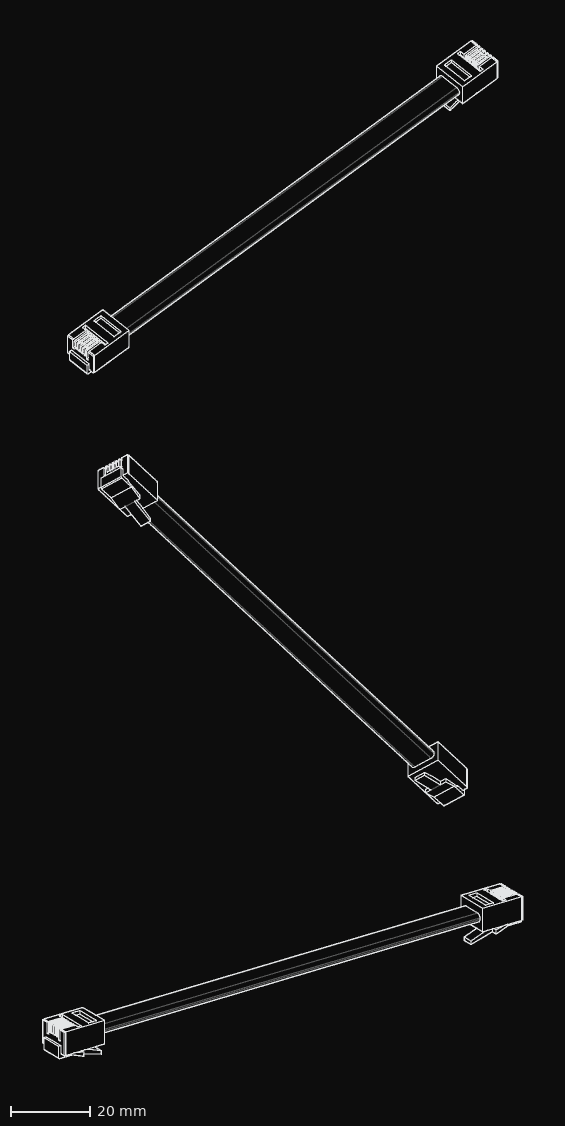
import cadquery as cq

cord_length = 143.0
half_length = cord_length / 2
overall_height = 11.0

plug_width = 9.6
plug_height = 6.6
plug_length = 12.5
plug_top = overall_height / 2
plug_bottom = plug_top - plug_height
latch_overhang = 0.7
plug_front = half_length - latch_overhang
plug_rear = plug_front - plug_length
nose_inset = 0.07
nose_length = 0.5

slot_count = 6
slot_pitch = 1.02
slot_width = 0.6
slot_length = 4.7
contact_slot_depth = 2.5
empty_slot_depth = 3.1

blade_front_gap = 1.0
blade_length = 3.5
blade_height = 2.3
blade_bevel = 0.3

groove_width = 8.2
groove_length = 1.0
groove_depth = 1.3
groove_front = plug_front - slot_length

pocket_width = 7.3
pocket_length = 2.5
pocket_depth = 1.0
pocket_rear_margin = 1.7
pocket_rear = plug_rear + pocket_rear_margin

latch_width = 6.5
latch_front_top = 1.22
latch_drop = 1.3
latch_bottom = plug_bottom - latch_drop
latch_flat_length = 4.3
latch_flat_rear = half_length - latch_flat_length
latch_chamfer = 0.3

tongue_width = 3.0
tongue_tip_y = 57.1
tongue_bottom = -overall_height / 2
tongue_tip_thickness = 1.0
tongue_root_y = 68.5
tongue_root_top = -1.5
tongue_bend_y = 61.2
tongue_bend_top = -3.0
tongue_shoulder_y = 63.7
tongue_shoulder_bottom = -3.7

cable_width = 7.2
cable_thickness = 2.5
cable_edge_radius = 1.0
cable_center_z = 2.1
cable_embed = 4.3
cable_end = plug_rear + cable_embed


def box(width, y_rear, y_front, z_low, z_high, x=0.0):
    """Box centred on x, spanning the given Y and Z ranges."""
    solid = cq.Workplane("XY").box(width, y_front - y_rear, z_high - z_low)
    return solid.translate((x, (y_rear + y_front) / 2, (z_low + z_high) / 2))


def make_cable():
    """Cable reaching into both plugs."""
    z_low = cable_center_z - cable_thickness / 2
    bar = box(cable_width, -cable_end, cable_end, z_low, z_low + cable_thickness)
    return bar.edges("|Y").fillet(cable_edge_radius)


def make_tongue(width):
    """Full-length tongue of the given width."""
    outline = [
        (latch_flat_rear, latch_bottom),
        (tongue_root_y, latch_bottom),
        (tongue_root_y, tongue_root_top),
        (tongue_bend_y, tongue_bend_top),
        (tongue_tip_y, tongue_bottom + tongue_tip_thickness),
        (tongue_tip_y, tongue_bottom),
        (tongue_shoulder_y, tongue_shoulder_bottom),
    ]
    return cq.Workplane("YZ").polyline(outline).close().extrude(width / 2, both=True)


def make_latch():
    """Latch block with its tongue, which is wide only in front of the shoulder."""
    block = box(latch_width, tongue_root_y, half_length, latch_bottom, latch_front_top)
    block = block.faces(">Y").edges("<Z").chamfer(latch_chamfer)
    wide_range = box(latch_width, tongue_shoulder_y, tongue_root_y, tongue_bottom, plug_bottom)
    wide_tongue = make_tongue(latch_width).intersect(wide_range)
    return block.union(wide_tongue).union(make_tongue(tongue_width))


def make_housing():
    """Rectangular housing whose nose is slightly set in at the top and both sides."""
    nose_rear = plug_front - nose_length
    nose_width = plug_width - 2 * nose_inset
    housing = box(plug_width, plug_rear, nose_rear, plug_bottom, plug_top)
    return housing.union(box(nose_width, nose_rear, plug_front, plug_bottom, plug_top - nose_inset))


def make_slot(index):
    """Space of one contact slot, less the blade that stands in it."""
    x = (index - (slot_count - 1) / 2) * slot_pitch
    if index in (0, slot_count - 1):
        return box(slot_width, groove_front, plug_front, plug_top - empty_slot_depth, plug_top, x)
    floor = plug_top - contact_slot_depth
    slot = box(slot_width, groove_front, plug_front, floor, plug_top, x)
    blade_front = plug_front - blade_front_gap
    blade = box(slot_width, blade_front - blade_length, blade_front, floor, floor + blade_height, x)
    return slot.cut(blade.faces(">Z").edges("|X").chamfer(blade_bevel))


def make_plug():
    """Plug at the +Y end of the cord."""
    plug = make_housing()
    for index in range(slot_count):
        plug = plug.cut(make_slot(index))
    groove_rear = groove_front - groove_length
    plug = plug.cut(box(groove_width, groove_rear, groove_front, plug_top - groove_depth, plug_top))
    pocket_front = pocket_rear + pocket_length
    plug = plug.cut(box(pocket_width, pocket_rear, pocket_front, plug_top - pocket_depth, plug_top))
    return plug.union(make_latch()).cut(make_cable())


cable = make_cable()
plug_turns = (0, 180)
plugs = [make_plug().rotate((0, 0, 0), (0, 0, 1), turn) for turn in plug_turns]
result = cq.Compound.makeCompound([cable.val(), *[plug.val() for plug in plugs]])